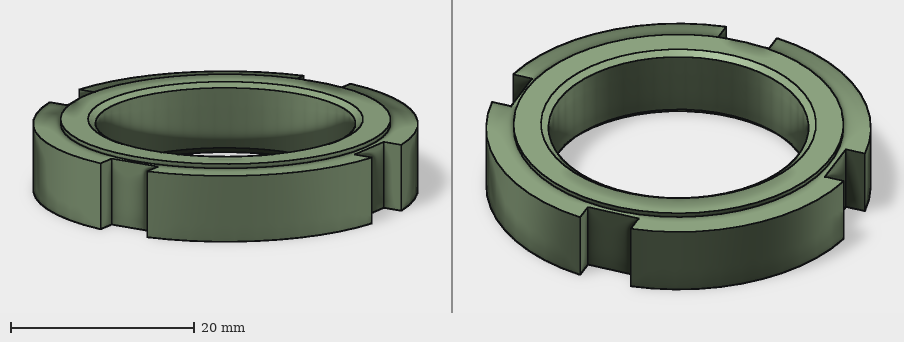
import cadquery as cq
import math

overall_width = 41.55
overall_height = 8.0
collar_height = 0.5
collar_diameter = 36.0
bore_diameter = 28.4
top_mouth_diameter = 30.0
top_chamfer_angle = 30.0
bottom_chamfer = 0.7
slot_width = 6.0
slot_floor_distance = 18.55
slot_count = 4

body_height = overall_height - collar_height
body_radius = math.hypot(overall_width / 2, slot_width / 2)
top_chamfer_depth = (top_mouth_diameter - bore_diameter) / 2 * math.tan(math.radians(top_chamfer_angle))


def make_blank():
    """Round body with a low collar on top."""
    body = cq.Workplane("XY").circle(body_radius).extrude(body_height)
    return body.faces(">Z").workplane().circle(collar_diameter / 2).extrude(collar_height)


def make_bore():
    """Through bore with a shallow cone at the top and a 45 degree chamfer at the bottom."""
    bore_radius = bore_diameter / 2
    profile = [
        (0, 0),
        (bore_radius + bottom_chamfer, 0),
        (bore_radius, bottom_chamfer),
        (bore_radius, overall_height - top_chamfer_depth),
        (top_mouth_diameter / 2, overall_height),
        (0, overall_height),
    ]
    return cq.Workplane("XZ").polyline(profile).close().revolve(360, (0, 0), (0, 1))


def make_slots():
    """Spanner slots, open outward and running the full body height."""
    slot = cq.Workplane("XY").box(
        overall_width, slot_width, body_height, centered=(False, True, False)
    )
    slot = slot.translate((slot_floor_distance, 0, 0))
    slots = cq.Workplane("XY")
    for index in range(slot_count):
        slots = slots.add(slot.rotate((0, 0, 0), (0, 0, 1), index * 360 / slot_count))
    return slots.combine()


result = make_blank().cut(make_bore()).cut(make_slots())